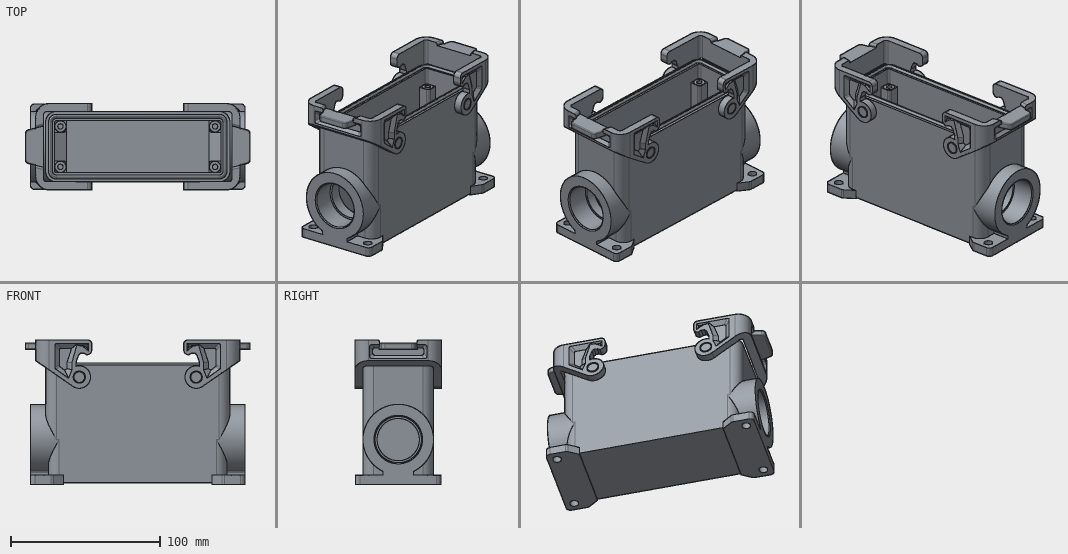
import cadquery as cq
import math

overall_length = 150.5
overall_height = 96.9
shoulder_height = 80.0
body_length = 123.4
body_width = 47.3
base_length = 119.8
base_underside = 1.0
body_corner_radius = 7.2

boss_axis_height = 30.1
boss_radius = body_width / 2
boss_face = 72.0
boss_web_width = 20.2
boss_web_rounding = 0.9
entry_radius = 15.5
entry_chamfer = 0.8
entry_depth = 15.8
bore_radius = 14.1
closing_wall = 1.5

cavity_length = 111.4
cavity_width = 34.9
cavity_floor = 4.5
cavity_corner_radius = 1.5
post_size = 7.8
post_corner_radius = 1.8
wall_overlap = 1.5
post_top = 68.8
post_ring_radius = 3.8
post_ring_height = 0.2
post_hole_radius = 1.8
post_hole_depth = 15.0
entry_block_top = 54.2
entry_block_inner_top = 50.1

bead_inset = 2.0
bead_thickness = 2.7
bead_height = 1.4
bead_rounding = 1.28
bead_corner_radius = 5.3

foot_inner_end = 49.7
foot_straight_end = 57.2
foot_width = 57.3
foot_thickness = 6.3
foot_corner_radius = 3.0
foot_hole_radius = 2.9
foot_hole_x = 65.5
foot_hole_y = 22.5

lever_width = 58.0
lever_inner_width = 47.0
lever_back = 68.3
lever_inner_back = 63.0
lever_back_bottom = 83.0
lever_corner_radius = 9.0
lever_inner_radius = 2.1
pivot_x = -39.1
pivot_z = 72.0
pivot_radius = 7.5
pin_radius = 4.0
pin_gap_width = 0.5
pin_gap_depth = 0.3
hook_tip = -30.7
hook_nose_bottom = 86.8
hook_top_radius = 3.0
hook_nose_radius = 3.5
hook_nose_run = 1.8
throat_top = 87.9
throat_x = -41.2
throat_top_x = -38.2
throat_corner_x = -39.6
throat_corner_z = 86.5
throat_bend_z = 81.9
side_recess_depth = 2.4
hook_recess_depth = 1.2
recess_corner_radius = 2.1

tab_top = 94.8
tab_thickness = 4.4
tab_root_width = 26.8
tab_tip_width = 21.7
tab_root = 64.7
tab_corner_radius = 2.7
tab_edge_rounding = 0.6
notch_rounding = 1.5
back_recess_width = 38.4
back_recess_top = 93.6
back_recess_bottom = 84.5
back_recess_depth = 2.1


def rounded_block(length, width, bottom, top, radius):
    """Upright block centred on the Z axis with rounded vertical edges."""
    block = cq.Workplane("XY", origin=(0, 0, bottom)).rect(length, width).extrude(top - bottom)
    return block.edges("|Z").fillet(radius)


def both_ends(shape):
    """A shape at the -X end together with its mirror image at the +X end."""
    return shape.union(shape.mirror("YZ"))


def both_sides(shape):
    """A shape on the -Y side together with its mirror image on the +Y side."""
    return shape.union(shape.mirror("XZ"))


def rod_along_x(radius, start, end):
    """Round bar on the cable entry axis."""
    return cq.Workplane("YZ", origin=(start, 0, boss_axis_height)).circle(radius).extrude(end - start)


def make_body():
    lower = rounded_block(base_length, body_width, base_underside, boss_axis_height, body_corner_radius)
    upper = rounded_block(body_length, body_width, boss_axis_height, shoulder_height, body_corner_radius)
    return lower.union(upper)


def make_boss():
    inner_end = base_length / 2 - body_corner_radius
    half_web = boss_web_width / 2
    boss = rod_along_x(boss_radius, -boss_face, -inner_end)
    web_size = (boss_face - inner_end, boss_web_width, boss_axis_height)
    web = cq.Workplane("XY").box(*web_size, centered=(False, True, False))
    boss = boss.union(web.translate((-boss_face, 0, 0)))
    crease_z = boss_axis_height - math.sqrt(boss_radius**2 - half_web**2)
    crease_x = -(boss_face + inner_end) / 2
    for crease_y in (-half_web, half_web):
        crease = cq.selectors.NearestToPointSelector((crease_x, crease_y, crease_z))
        boss = boss.edges("|X").edges(crease).fillet(boss_web_rounding)
    return boss


def make_foot():
    half_width = foot_width / 2
    half_body = body_width / 2
    outline = [
        (-boss_face, -half_width),
        (-foot_straight_end, -half_width),
        (-foot_inner_end, -half_body),
        (-foot_inner_end, half_body),
        (-foot_straight_end, half_width),
        (-boss_face, half_width),
    ]
    foot = cq.Workplane("XY").polyline(outline).close().extrude(foot_thickness)
    foot = foot.edges("|Z and <X").fillet(foot_corner_radius)
    foot = foot.edges("|Z").edges("<Y or >Y").fillet(foot_corner_radius)
    holes = [(-foot_hole_x, -foot_hole_y), (-foot_hole_x, foot_hole_y)]
    return foot.cut(cq.Workplane("XY").pushPoints(holes).circle(foot_hole_radius).extrude(foot_thickness))


def make_cavity():
    return rounded_block(cavity_length, cavity_width, cavity_floor, overall_height, cavity_corner_radius)


def make_entry_block():
    """Thick end wall around the bore, with a sloping top."""
    end = -cavity_length / 2
    outline = [
        (end - wall_overlap, cavity_floor - wall_overlap),
        (end - wall_overlap, entry_block_top),
        (end, entry_block_top),
        (end + post_size, entry_block_inner_top),
        (end + post_size, cavity_floor - wall_overlap),
    ]
    return cq.Workplane("XZ").polyline(outline).close().extrude(cavity_width / 2 + wall_overlap, both=True)


def make_posts():
    """Two square insert posts in the corners at one end of the cavity."""
    x = -(cavity_length - post_size) / 2
    y = (cavity_width - post_size) / 2
    side = post_size + wall_overlap
    height = post_top - cavity_floor
    post = cq.Workplane("XY", origin=(x - wall_overlap / 2, -y - wall_overlap / 2, cavity_floor))
    post = post.rect(side, side).extrude(height)
    post = post.edges("|Z and >X and >Y").fillet(post_corner_radius)
    top = cq.Workplane("XY", origin=(x, -y, post_top))
    post = post.union(top.circle(post_ring_radius).extrude(post_ring_height))
    hole = top.workplane(offset=post_ring_height).circle(post_hole_radius).extrude(-post_hole_depth)
    return both_sides(post.cut(hole))


def make_bead():
    outer_length = body_length - 2 * bead_inset
    outer_width = body_width - 2 * bead_inset
    top = shoulder_height + bead_height
    inner_length = outer_length - 2 * bead_thickness
    inner_width = outer_width - 2 * bead_thickness
    inner_radius = bead_corner_radius - bead_thickness
    outer = rounded_block(outer_length, outer_width, shoulder_height, top, bead_corner_radius)
    inner = rounded_block(inner_length, inner_width, shoulder_height, top, inner_radius)
    return outer.cut(inner).faces(">Z").edges().fillet(bead_rounding)


def make_lever_profile():
    """Side outline of a lever: back, top, hook, throat and pivot eye."""
    back_dx = pivot_x + lever_back
    back_dz = pivot_z - lever_back_bottom
    slope = math.atan2(back_dz, back_dx) - math.asin(pivot_radius / math.hypot(back_dx, back_dz))
    tangent_x = pivot_x + pivot_radius * math.sin(slope)
    tangent_z = pivot_z - pivot_radius * math.cos(slope)
    throat_dx = throat_x - pivot_x
    throat_z = pivot_z + math.sqrt(pivot_radius**2 - throat_dx**2)
    return (
        cq.Workplane("XZ")
        .moveTo(-lever_back, lever_back_bottom)
        .lineTo(-lever_back, overall_height)
        .lineTo(hook_tip - hook_top_radius, overall_height)
        .radiusArc((hook_tip, overall_height - hook_top_radius), hook_top_radius)
        .lineTo(hook_tip, hook_nose_bottom + hook_nose_radius)
        .radiusArc((hook_tip - hook_nose_radius, hook_nose_bottom), hook_nose_radius)
        .lineTo(hook_tip - hook_nose_radius - hook_nose_run, throat_top)
        .lineTo(throat_top_x, throat_top)
        .lineTo(throat_corner_x, throat_corner_z)
        .lineTo(throat_x, throat_bend_z)
        .lineTo(throat_x, throat_z)
        .threePointArc((pivot_x + pivot_radius, pivot_z), (tangent_x, tangent_z))
        .close()
    )


def make_lever_shell():
    """Plan of a lever, a U open toward the middle of the housing."""
    outer = rounded_block(2 * lever_back, lever_width, 0, overall_height, lever_corner_radius)
    inner = rounded_block(2 * lever_inner_back, lever_inner_width, 0, overall_height, lever_inner_radius)
    return outer.cut(inner)


def bevelled_pocket(mouth, floor, depth):
    """Pocket in the -Y face of a lever that narrows from its mouth to its floor."""
    pocket = cq.Workplane("XZ", origin=(0, depth - lever_width / 2, 0)).polyline(floor).close()
    return pocket.workplane(offset=depth).polyline(mouth).close().loft(ruled=True)


def make_side_recess():
    """Bevelled recess between the back of the lever, its hook and its eye."""
    mouth = [
        (-55.4, 94.4), (-40.5, 94.4), (-44.1, 81.5),
        (-44.1, 76.8), (-46.4, 71.2), (-55.4, 77.7),
    ]
    floor = [
        (-52.5, 91.2), (-44.2, 91.2), (-47.3, 82.0),
        (-47.3, 77.7), (-48.9, 76.5), (-52.5, 79.3),
    ]
    hook_mouth = [(-41.0, 94.4), (-32.8, 94.4), (-32.8, 89.4), (-37.0, 92.7), (-39.6, 93.0)]
    hook_floor = [(-40.2, 93.6), (-34.0, 93.3), (-33.7, 91.7), (-36.9, 93.2), (-39.6, 93.3)]
    main = bevelled_pocket(mouth, floor, side_recess_depth)
    main = main.edges("not #Y").edges("<X").fillet(recess_corner_radius)
    return main.union(bevelled_pocket(hook_mouth, hook_floor, hook_recess_depth))


def make_pin_gap():
    """Shallow ring that sets the pivot pin off from the lever eye."""
    gap = cq.Workplane("XZ", origin=(pivot_x, -lever_width / 2, pivot_z))
    return gap.circle(pin_radius).circle(pin_radius - pin_gap_width).extrude(-pin_gap_depth)


def make_back_recess():
    height = back_recess_top - back_recess_bottom
    middle = (back_recess_top + back_recess_bottom) / 2
    mouth = cq.Workplane("YZ", origin=(-lever_back, 0, middle)).rect(back_recess_width, height)
    floor_size = (back_recess_width - 2 * back_recess_depth, height - 2 * back_recess_depth)
    recess = mouth.workplane(offset=back_recess_depth).rect(*floor_size).loft(ruled=True)
    return recess.edges("not #X").fillet(recess_corner_radius)


def tab_half_width(x):
    """Half the tab width at a distance x from the middle of the housing."""
    share = (x - tab_root) / (overall_length / 2 - tab_root)
    return (tab_root_width + share * (tab_tip_width - tab_root_width)) / 2


def notch_outline(plane, half):
    """Notch section with rounded shoulders, open at the top of the lever."""
    return (
        plane.moveTo(-half, tab_top)
        .lineTo(half, tab_top)
        .lineTo(half, overall_height - notch_rounding)
        .radiusArc((half + notch_rounding, overall_height), notch_rounding)
        .lineTo(-half - notch_rounding, overall_height)
        .radiusArc((-half, overall_height - notch_rounding), notch_rounding)
        .close()
    )


def make_tab_notch():
    """Gap in the top of the lever back, as wide as the tab all along."""
    notch = notch_outline(cq.Workplane("YZ", origin=(-lever_back, 0, 0)), tab_half_width(lever_back))
    inner_plane = notch.workplane(offset=lever_back - lever_inner_back)
    return notch_outline(inner_plane, tab_half_width(lever_inner_back)).loft(ruled=True)


def make_tab():
    tip = overall_length / 2
    outline = [
        (-tab_root, -tab_root_width / 2),
        (-tip, -tab_tip_width / 2),
        (-tip, tab_tip_width / 2),
        (-tab_root, tab_root_width / 2),
    ]
    tab = cq.Workplane("XY", origin=(0, 0, tab_top - tab_thickness))
    tab = tab.polyline(outline).close().extrude(tab_thickness)
    tab = tab.edges("|Z and <X").fillet(tab_corner_radius)
    return tab.faces("<Z or >Z").edges("not >X").fillet(tab_edge_rounding)


def make_lever():
    lever = make_lever_profile().extrude(lever_width / 2, both=True).intersect(make_lever_shell())
    lever = lever.cut(both_sides(make_side_recess()))
    lever = lever.cut(both_sides(make_pin_gap()))
    lever = lever.cut(make_back_recess())
    lever = lever.cut(make_tab_notch())
    return lever.union(make_tab())


def make_entry():
    """Counterbore of a cable entry with a chamfered mouth."""
    mouth = cq.Workplane("YZ", origin=(-boss_face, 0, boss_axis_height))
    mouth = mouth.circle(entry_radius + entry_chamfer)
    mouth = mouth.workplane(offset=entry_chamfer).circle(entry_radius).loft()
    return mouth.union(rod_along_x(entry_radius, -boss_face, entry_depth - boss_face))


block_inner_face = post_size - cavity_length / 2

housing = make_body().union(both_ends(make_boss())).union(both_ends(make_foot()))
housing = housing.cut(make_cavity())
housing = housing.union(both_ends(make_entry_block()))
housing = housing.union(both_ends(make_posts()))
housing = housing.union(make_bead())

housing = housing.cut(both_ends(make_entry()))
housing = housing.cut(rod_along_x(bore_radius, -boss_face, block_inner_face))
housing = housing.cut(rod_along_x(bore_radius, closing_wall - block_inner_face, boss_face))

result = housing.union(both_ends(make_lever()))